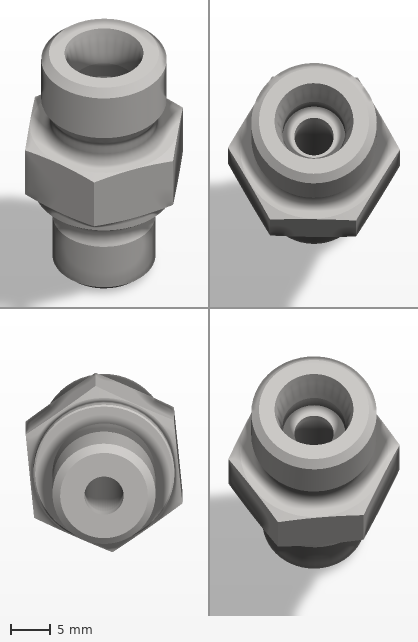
import cadquery as cq
import math

total_height = 34.0
collar_bottom = 12.0
collar_top = 14.0
hex_top = 22.0

hex_across_flats = 19.0
hex_flat_circle = 18.87
hex_chamfer_angle = math.radians(15)
collar_radius = 18.0 / 2
collar_chamfer = 0.2

lower_radius = 13.15 / 2
lower_chamfer = 1.0
lower_thread_top = 7.58
lower_neck_radius = 11.22 / 2
upper_radius = 16.0 / 2
upper_chamfer = 1.0
upper_thread_bottom = 26.52
upper_neck_radius = 13.7 / 2
groove_arc_radius = 1.0
groove_angle = math.radians(30)

bore_diameter = 5.0
socket_radius = 8.0 / 2
mouth_radius = 10.05 / 2
socket_depth = 7.0
taper_angle = math.radians(12)

arc_rise = groove_arc_radius * math.sin(groove_angle)
arc_sag = groove_arc_radius * (1 - math.cos(groove_angle))


def arc_point(neck_radius, center_z, angle):
    """Point on a groove arc, at an angle above its deepest point."""
    return (
        neck_radius + groove_arc_radius * (1 - math.cos(angle)),
        center_z + groove_arc_radius * math.sin(angle),
    )


def make_lower_end():
    """Lower threaded end with a V-shaped groove, and the collar above it."""
    flank_height = (lower_radius - lower_neck_radius - arc_sag) / math.tan(groove_angle)
    arc_center_z = lower_thread_top + flank_height + arc_rise
    return (
        cq.Workplane("XZ")
        .lineTo(lower_radius - lower_chamfer, 0)
        .lineTo(lower_radius, lower_chamfer)
        .lineTo(lower_radius, lower_thread_top)
        .lineTo(*arc_point(lower_neck_radius, arc_center_z, -groove_angle))
        .threePointArc(
            (lower_neck_radius, arc_center_z),
            arc_point(lower_neck_radius, arc_center_z, groove_angle),
        )
        .lineTo(lower_radius, collar_bottom)
        .lineTo(collar_radius - collar_chamfer, collar_bottom)
        .lineTo(collar_radius, collar_bottom + collar_chamfer)
        .lineTo(collar_radius, collar_top)
        .lineTo(0, collar_top)
        .close()
        .revolve(360, (0, 0, 0), (0, 1, 0))
    )


def make_upper_end():
    """Upper threaded end, whose straight neck flares out onto the hexagon."""
    flare_top = hex_top + groove_arc_radius
    flank_height = (upper_radius - upper_neck_radius - arc_sag) / math.tan(groove_angle)
    neck_top = upper_thread_bottom - flank_height - arc_rise
    return (
        cq.Workplane("XZ")
        .moveTo(0, hex_top)
        .lineTo(upper_neck_radius + groove_arc_radius, hex_top)
        .threePointArc(
            arc_point(upper_neck_radius, flare_top, -math.pi / 4),
            (upper_neck_radius, flare_top),
        )
        .lineTo(upper_neck_radius, neck_top)
        .threePointArc(
            arc_point(upper_neck_radius, neck_top, groove_angle / 2),
            arc_point(upper_neck_radius, neck_top, groove_angle),
        )
        .lineTo(upper_radius, upper_thread_bottom)
        .lineTo(upper_radius, total_height - upper_chamfer)
        .lineTo(upper_radius - upper_chamfer, total_height)
        .lineTo(0, total_height)
        .close()
        .revolve(360, (0, 0, 0), (0, 1, 0))
    )


def make_hexagon():
    """Hexagon with corners on the Y axis and conically chamfered ends."""
    corner_radius = hex_across_flats / 2 / math.cos(math.pi / 6)
    flat_radius = hex_flat_circle / 2
    chamfer_height = (corner_radius - flat_radius) * math.tan(hex_chamfer_angle)
    prism = (
        cq.Workplane("XY", origin=(0, 0, collar_top))
        .polygon(6, 2 * corner_radius)
        .extrude(hex_top - collar_top)
        .rotate((0, 0, 0), (0, 0, 1), 30)
    )
    chamfer_envelope = (
        cq.Workplane("XZ")
        .moveTo(0, collar_top)
        .lineTo(flat_radius, collar_top)
        .lineTo(corner_radius, collar_top + chamfer_height)
        .lineTo(corner_radius, hex_top - chamfer_height)
        .lineTo(flat_radius, hex_top)
        .lineTo(0, hex_top)
        .close()
        .revolve(360, (0, 0, 0), (0, 1, 0))
    )
    return prism.intersect(chamfer_envelope)


def make_socket():
    """Tube socket in the upper end: tapered mouth above a flat-bottomed bore."""
    taper_height = (mouth_radius - socket_radius) / math.tan(taper_angle)
    return (
        cq.Workplane("XZ")
        .moveTo(0, total_height)
        .lineTo(mouth_radius, total_height)
        .lineTo(socket_radius, total_height - taper_height)
        .lineTo(socket_radius, total_height - socket_depth)
        .lineTo(0, total_height - socket_depth)
        .close()
        .revolve(360, (0, 0, 0), (0, 1, 0))
    )


bore = cq.Workplane("XY").circle(bore_diameter / 2).extrude(total_height)

result = make_lower_end().union(make_hexagon()).union(make_upper_end())
result = result.cut(make_socket()).cut(bore)